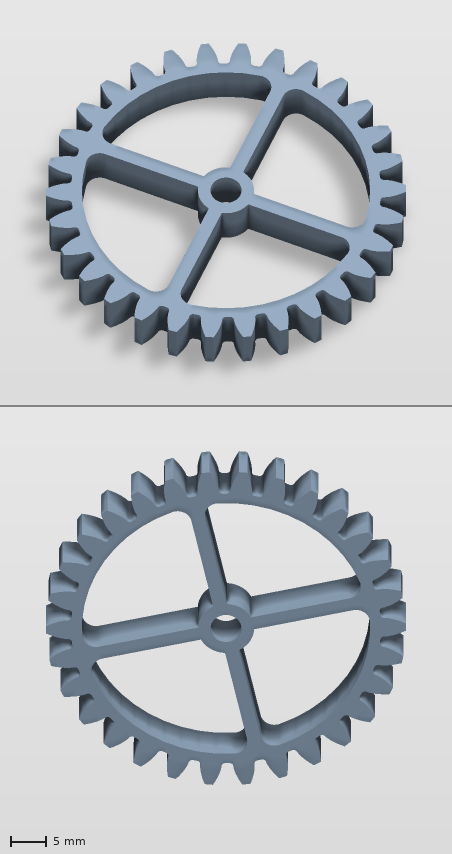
import cadquery as cq
import math

tooth_count = 30
outer_radius = 25.5
thickness = 6.0
root_depth_ratio = 1.25
module = 2 * outer_radius / (tooth_count + 2)
pitch_radius = module * tooth_count / 2
root_radius = pitch_radius - root_depth_ratio * module
pressure_angle = math.radians(20)
base_radius = pitch_radius * math.cos(pressure_angle)
root_fillet = (base_radius**2 - root_radius**2) / (2 * root_radius)

rim_inner_radius = 20.4
hub_radius = 4.0
bore_diameter = 4.4
spoke_count = 4
spoke_width = 2.0
window_fillet = 2.0

cutter_overrun = 0.5
cutter_radius = outer_radius + cutter_overrun
flank_steps = 8


def polar(radius, angle):
    return (radius * math.cos(angle), radius * math.sin(angle))


def involute_angle(radius):
    """Polar angle swept by the involute between the base circle and a radius."""
    roll = math.sqrt(max((radius / base_radius) ** 2 - 1, 0))
    return roll - math.atan(roll)


def gap_half_angle(radius):
    """Half the angular width of a tooth gap, at or above the base circle."""
    half_at_pitch = math.pi / (2 * tooth_count)
    return half_at_pitch + involute_angle(radius) - involute_angle(pitch_radius)


def mirrored(points):
    """Mirror points across the X axis and reverse their order."""
    return [(x, -y) for x, y in reversed(points)]


def root_fillet_points():
    """Start, middle and end of the fillet from the root circle up to the flank."""
    centre_radius = root_radius + root_fillet
    flank_angle = gap_half_angle(base_radius)
    centre_angle = flank_angle - math.asin(root_fillet / centre_radius)
    centre_x, centre_y = polar(centre_radius, centre_angle)
    middle_direction = (centre_angle + math.pi + flank_angle + math.pi / 2) / 2
    offset_x, offset_y = polar(root_fillet, middle_direction)
    return [
        polar(root_radius, centre_angle),
        (centre_x + offset_x, centre_y + offset_y),
        polar(base_radius, flank_angle),
    ]


def make_tooth_gap():
    """Cutter for one tooth gap, centred on the +X axis."""
    step = (cutter_radius - base_radius) / flank_steps
    radii = [base_radius + step * i for i in range(flank_steps + 1)]
    upper_flank = [polar(r, gap_half_angle(r)) for r in radii]
    lower_flank = mirrored(upper_flank)
    upper_fillet = root_fillet_points()
    lower_fillet = mirrored(upper_fillet)
    return (
        cq.Workplane("XY")
        .moveTo(*lower_fillet[-1])
        .threePointArc((root_radius, 0), upper_fillet[0])
        .threePointArc(*upper_fillet[1:])
        .spline(upper_flank[1:], includeCurrent=True)
        .threePointArc((cutter_radius, 0), lower_flank[0])
        .spline(lower_flank[1:], includeCurrent=True)
        .threePointArc(*lower_fillet[1:])
        .close()
        .extrude(thickness)
    )


def make_windows():
    """Openings between the hub, the spokes and the rim."""
    windows = cq.Workplane("XY").circle(rim_inner_radius).extrude(thickness)
    for i in range(spoke_count):
        spoke = (
            cq.Workplane("XY")
            .center(outer_radius / 2, 0)
            .rect(outer_radius, spoke_width)
            .extrude(thickness)
            .rotate((0, 0, 0), (0, 0, 1), i * 360 / spoke_count)
        )
        windows = windows.cut(spoke)
    hub_zone = cq.selectors.BoxSelector(
        (-hub_radius, -hub_radius, 0),
        (hub_radius, hub_radius, thickness),
    )
    rim_corners = cq.selectors.InverseSelector(hub_zone)
    windows = windows.edges("|Z").edges(rim_corners).fillet(window_fillet)
    hub = cq.Workplane("XY").circle(hub_radius).extrude(thickness)
    return windows.cut(hub)


gear = cq.Workplane("XY").circle(outer_radius).extrude(thickness)

pitch_degrees = 360 / tooth_count
tooth_gap = make_tooth_gap()
for i in range(tooth_count):
    gear = gear.cut(tooth_gap.rotate((0, 0, 0), (0, 0, 1), (i + 0.5) * pitch_degrees))

bore = cq.Workplane("XY").circle(bore_diameter / 2).extrude(thickness)
result = gear.cut(make_windows()).cut(bore)